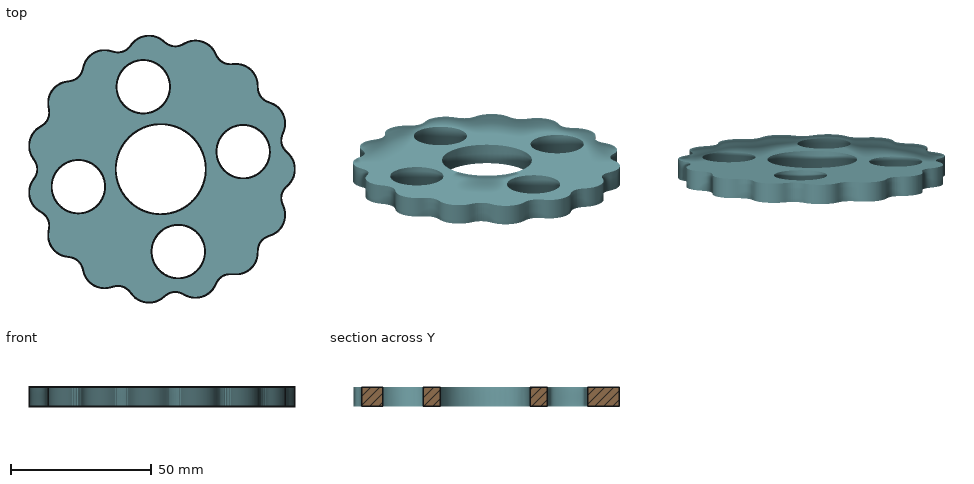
import cadquery as cq
import math

thickness = 7.0
pin_clearance = 0.1

ring_pin_count = 16
lobe_count = ring_pin_count - 1
ring_pin_circle_radius = 50.0
ring_pin_radius = 4.0
eccentricity = 1.875

bearing_bore_diameter = 32.0
output_pin_diameter = 15.0
output_hole_diameter = output_pin_diameter + 2 * eccentricity + 2 * pin_clearance
output_hole_count = 4
output_hole_circle_radius = 30.0

lobe_pitch_angle = 360.0 / lobe_count
first_output_hole_angle = lobe_pitch_angle / 2

facets_per_lobe = 60


def rim_point(angle):
    """Point on the lobed rim: an epitrochoid offset inward by the ring pin and its clearance."""
    inward_offset = ring_pin_radius + pin_clearance
    roll_ratio = ring_pin_circle_radius / (eccentricity * ring_pin_count)
    roll_angle = ring_pin_count * angle
    lobe_angle = lobe_count * angle
    normal_angle = angle - math.atan2(math.sin(lobe_angle), roll_ratio - math.cos(lobe_angle))
    x = (
        ring_pin_circle_radius * math.cos(angle)
        - inward_offset * math.cos(normal_angle)
        - eccentricity * math.cos(roll_angle)
    )
    y = (
        ring_pin_circle_radius * math.sin(angle)
        - inward_offset * math.sin(normal_angle)
        - eccentricity * math.sin(roll_angle)
    )
    return x, y


def make_lobed_plate():
    """Plate with the lobed rim, turned half a lobe so that a crest lies on +X."""
    facet_count = facets_per_lobe * lobe_count
    rim_points = [rim_point(2 * math.pi * i / facet_count) for i in range(facet_count)]
    plate = cq.Workplane("XY").polyline(rim_points).close().extrude(thickness)
    return plate.rotate((0, 0, 0), (0, 0, 1), lobe_pitch_angle / 2)


def make_bearing_bore():
    return cq.Workplane("XY").circle(bearing_bore_diameter / 2).extrude(thickness)


def make_output_holes():
    return (
        cq.Workplane("XY")
        .polarArray(output_hole_circle_radius, first_output_hole_angle, 360, output_hole_count)
        .circle(output_hole_diameter / 2)
        .extrude(thickness)
    )


result = make_lobed_plate().cut(make_bearing_bore()).cut(make_output_holes())